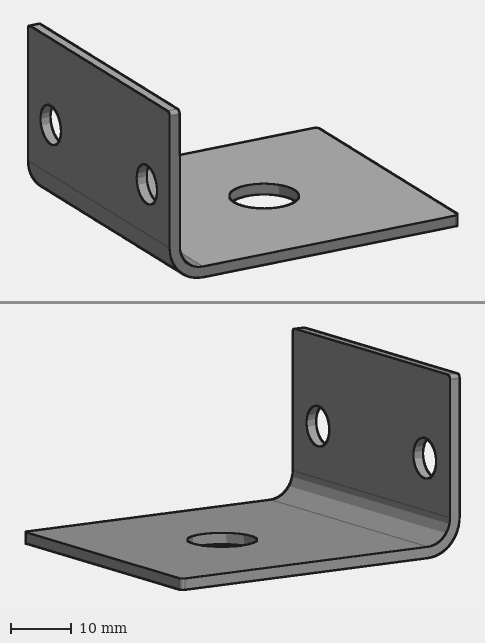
import cadquery as cq

width = 47.0
depth = 54.75
height = 30.2
thickness = 1.9

outer_bend_radius = 6.3
inner_bend_radius = outer_bend_radius - thickness

corner_radius = 0.7

base_hole_diameter = 11.45
base_hole_y = 31.25
flange_hole_diameter = 6.75
flange_hole_spacing = 31.85
flange_hole_z = 15.0


def bent_sheet():
    """L-shaped sheet with its outer front face at Y = 0 and its underside at Z = 0, centred on X."""
    block = cq.Workplane("XY").box(width, depth, height, centered=(True, False, False))
    block = block.edges("|X and <Y and <Z").fillet(outer_bend_radius)
    inside = (
        cq.Workplane("XY")
        .box(width, depth - thickness, height - thickness, centered=(True, False, False))
        .translate((0, thickness, thickness))
        .edges("|X and <Y and <Z")
        .fillet(inner_bend_radius)
    )
    return block.cut(inside)


def round_corners(sheet):
    """Round the two far corners of the base and the two top corners of the flange."""
    sheet = sheet.faces(">Y").edges("|Z").fillet(corner_radius)
    return sheet.faces(">Z").edges("|Y").fillet(corner_radius)


def base_hole():
    return (
        cq.Workplane("XY")
        .center(0, base_hole_y)
        .circle(base_hole_diameter / 2)
        .extrude(thickness)
    )


def flange_holes():
    hole_x = flange_hole_spacing / 2
    return (
        cq.Workplane("XZ")
        .pushPoints([(-hole_x, flange_hole_z), (hole_x, flange_hole_z)])
        .circle(flange_hole_diameter / 2)
        .extrude(-thickness)
    )


result = round_corners(bent_sheet()).cut(base_hole()).cut(flange_holes())